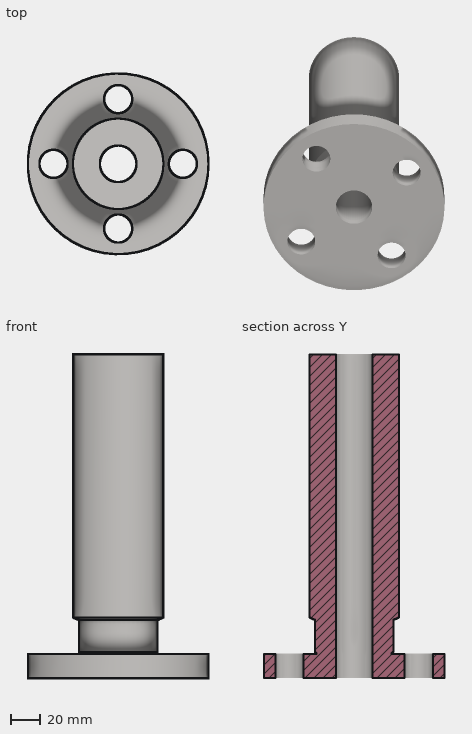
import cadquery as cq

total_height = 222.2
bore_diameter = 25.0

flange_diameter = 124.0
flange_thickness = 17.0
bolt_hole_count = 4
bolt_hole_diameter = 19.1
bolt_circle_diameter = 88.7

neck_diameter = 54.0
neck_top = 40.0
neck_chamfer = 1.3

barrel_diameter = 62.0
cone_height = 1.8


def turned_body():
    """Flange, neck, cone and barrel turned around Z from one half profile."""
    flange_radius = flange_diameter / 2
    neck_radius = neck_diameter / 2
    barrel_radius = barrel_diameter / 2
    half_profile = [
        (0, 0),
        (flange_radius, 0),
        (flange_radius, flange_thickness),
        (neck_radius - neck_chamfer, flange_thickness),
        (neck_radius, flange_thickness + neck_chamfer),
        (neck_radius, neck_top),
        (barrel_radius, neck_top + cone_height),
        (barrel_radius, total_height),
        (0, total_height),
    ]
    return cq.Workplane("XZ").polyline(half_profile).close().revolve(360, (0, 0), (0, 1))


def bore():
    return cq.Workplane("XY").circle(bore_diameter / 2).extrude(total_height)


def bolt_holes():
    return (
        cq.Workplane("XY")
        .polarArray(bolt_circle_diameter / 2, 0, 360, bolt_hole_count)
        .circle(bolt_hole_diameter / 2)
        .extrude(flange_thickness)
    )


result = turned_body().cut(bore()).cut(bolt_holes())